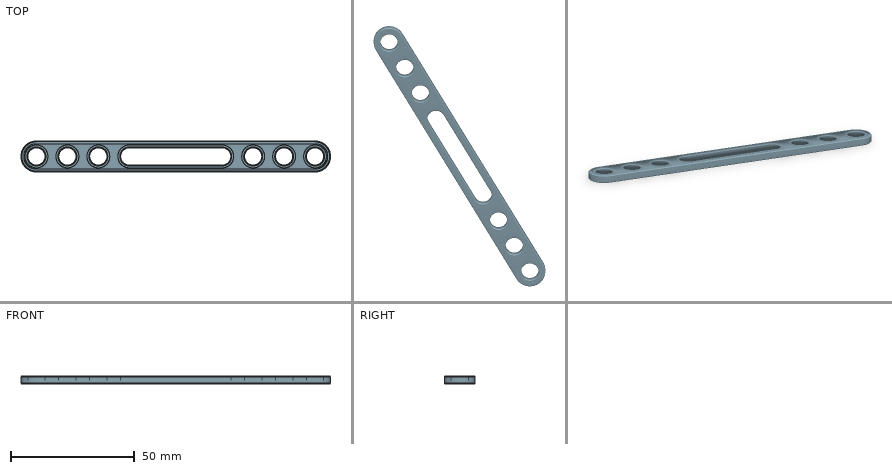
import cadquery as cq

length = 125
width = 12.5
thickness = 3.1

hole_pitch = width
holes_per_end = 3
opening_width = 7.0
end_hole_x = (length - width) / 2
slot_end_x = end_hole_x - holes_per_end * hole_pitch
hole_centres = [
    (side * (end_hole_x - i * hole_pitch), 0) for side in (-1, 1) for i in range(holes_per_end)
]

rim_width = 1.1
web_depth = 0.2

edge_chamfer = 0.3


def make_strip():
    """Rounded bar standing on the XY plane, bevelled around both faces."""
    bar = cq.Workplane("XY").slot2D(length, width).extrude(thickness)
    return bar.faces("<Z or >Z").edges().chamfer(edge_chamfer)


def make_opening_bodies(body_width, height):
    """Solid bodies at the holes and the slot, each body_width across."""
    holes = cq.Workplane("XY").pushPoints(hole_centres).circle(body_width / 2).extrude(height)
    slot = cq.Workplane("XY").slot2D(2 * slot_end_x + body_width, body_width).extrude(height)
    return holes.union(slot)


def make_web_recess():
    """Shallow layer covering the web: inside the outline rim and outside the opening rims."""
    inset = 2 * rim_width
    layer = cq.Workplane("XY").slot2D(length - inset, width - inset).extrude(web_depth)
    return layer.cut(make_opening_bodies(opening_width + inset, web_depth))


def bevel_mouths(body, z):
    """Chamfer the opening edges lying on the face at height z."""
    reach_x = end_hole_x + opening_width / 2 + rim_width / 4
    reach_y = opening_width / 2 + rim_width / 4
    tolerance = web_depth / 4
    mouths = cq.selectors.BoxSelector(
        (-reach_x, -reach_y, z - tolerance), (reach_x, reach_y, z + tolerance), boundingbox=True
    )
    return body.edges(mouths).chamfer(edge_chamfer)


recess = make_web_recess()
result = make_strip().cut(make_opening_bodies(opening_width, thickness))
result = result.cut(recess.translate((0, 0, thickness - web_depth)))
for face_z in (0, thickness):
    result = bevel_mouths(result, face_z)